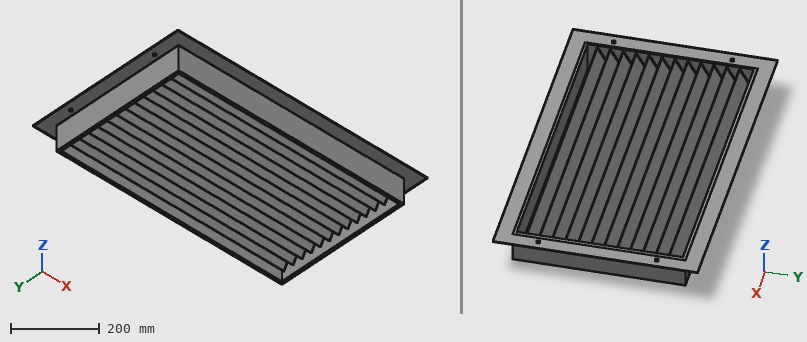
import cadquery as cq
import math

flange_length = 775.0
flange_width = 475.0
flange_thickness = 2.0
overall_height = 75.0

rim_width = 45.0
flange_overhang = 37.0
collar_length = flange_length - 2 * flange_overhang
collar_width = flange_width - 2 * flange_overhang
opening_length = flange_length - 2 * rim_width
opening_width = flange_width - 2 * rim_width

blade_count = 12
blade_row_span = 330.0
blade_pitch = blade_row_span / (blade_count - 1)
blade_plan_width = 27.0
blade_angle = 60.0
blade_thickness = 1.5
blade_row_offset = 8.0
blade_center_z = -27.0

hole_diameter = 8.0
hole_spacing_x = flange_length - rim_width
hole_spacing_y = 275.0


def make_frame():
    """Flange and collar sharing one through opening, with screw holes."""
    flange = cq.Workplane("XY").rect(flange_length, flange_width).extrude(-flange_thickness)
    collar = cq.Workplane("XY").rect(collar_length, collar_width).extrude(-overall_height)
    opening = cq.Workplane("XY").rect(opening_length, opening_width).extrude(-overall_height)
    holes = (
        cq.Workplane("XY")
        .rect(hole_spacing_x, hole_spacing_y, forConstruction=True)
        .vertices()
        .circle(hole_diameter / 2)
        .extrude(-flange_thickness)
    )
    return flange.union(collar).cut(opening).cut(holes)


def make_blade(center_y):
    """Flat blade whose ends are set into the collar walls."""
    angle = math.radians(blade_angle)
    chord = (blade_plan_width - blade_thickness * math.sin(angle)) / math.cos(angle)
    wall = (collar_length - opening_length) / 2
    blade_length = opening_length + wall
    return (
        cq.Workplane("XY")
        .box(blade_length, chord, blade_thickness)
        .rotate((0, 0, 0), (1, 0, 0), -blade_angle)
        .translate((0, center_y, blade_center_z))
    )


result = make_frame()
for index in range(blade_count):
    center_y = blade_row_offset + index * blade_pitch - blade_row_span / 2
    result = result.union(make_blade(center_y))